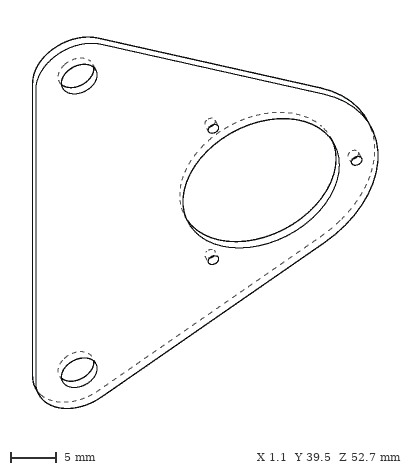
import cadquery as cq
import math

thickness = 1.1
nose_radius = 12.5
nose_y = 1.0
corner_radius = 5.0
corner_y = -20.95
corner_z = 21.35

bore_diameter = 18.0
mount_hole_diameter = 4.1
screw_hole_diameter = 1.2
screw_circle_radius = 11.0
screw_count = 3


def on_circle(center_y, center_z, radius, angle):
    """Point on a circle, with the angle in radians from +Y toward +Z."""
    return (center_y + radius * math.cos(angle), center_z + radius * math.sin(angle))


def mirrored(point):
    return (point[0], -point[1])


def make_plate():
    """Rounded triangle whose sloping sides are tangent to the nose and corner arcs."""
    center_distance = math.hypot(corner_y - nose_y, corner_z)
    center_angle = math.atan2(corner_z, corner_y - nose_y)
    tangent_angle = center_angle - math.acos((nose_radius - corner_radius) / center_distance)
    corner_mid_angle = (tangent_angle + math.pi) / 2

    nose_tangent = on_circle(nose_y, 0, nose_radius, tangent_angle)
    corner_tangent = on_circle(corner_y, corner_z, corner_radius, tangent_angle)
    corner_mid = on_circle(corner_y, corner_z, corner_radius, corner_mid_angle)
    corner_end = (corner_y - corner_radius, corner_z)

    return (
        cq.Workplane("YZ")
        .moveTo(*nose_tangent)
        .lineTo(*corner_tangent)
        .threePointArc(corner_mid, corner_end)
        .lineTo(*mirrored(corner_end))
        .threePointArc(mirrored(corner_mid), mirrored(corner_tangent))
        .lineTo(*mirrored(nose_tangent))
        .threePointArc((nose_y + nose_radius, 0), nose_tangent)
        .close()
        .extrude(thickness)
    )


def hole_cutter(centers, diameter):
    return cq.Workplane("YZ").pushPoints(centers).circle(diameter / 2).extrude(thickness)


mount_centers = [(corner_y, corner_z), (corner_y, -corner_z)]
screw_centers = [
    on_circle(0, 0, screw_circle_radius, 2 * math.pi * index / screw_count)
    for index in range(screw_count)
]

result = (
    make_plate()
    .cut(hole_cutter([(0, 0)], bore_diameter))
    .cut(hole_cutter(mount_centers, mount_hole_diameter))
    .cut(hole_cutter(screw_centers, screw_hole_diameter))
)